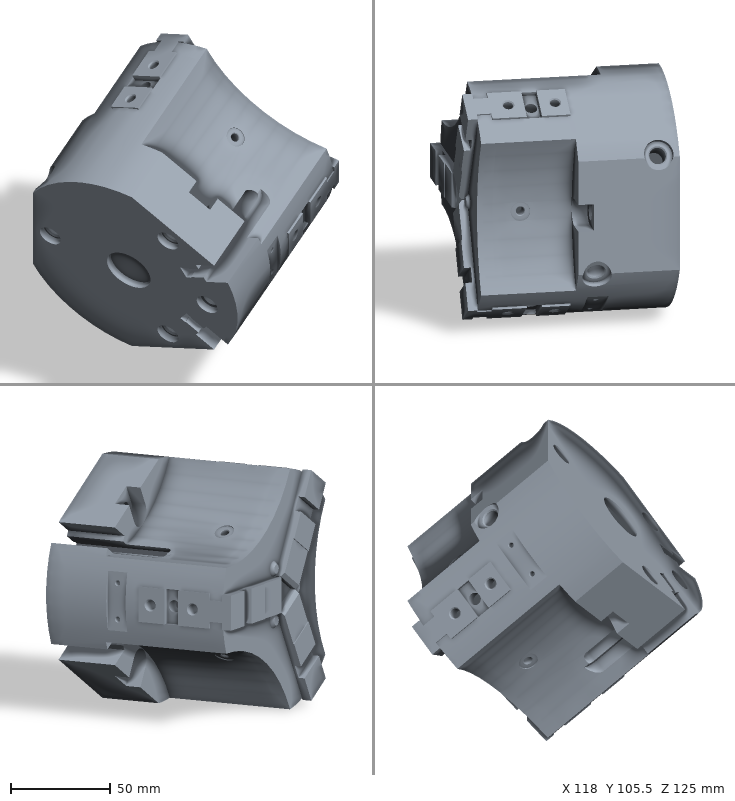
import cadquery as cq
import math


JAW_ANGLES = (0, 120, 240)
SCALLOP_ANGLES = (60, 180, 300)

BODY_RADIUS = 62.5
BODY_LENGTH = 100.5
COVER_THICKNESS = 8.0
FLAT_DISTANCE = 55.0
SCALLOP_RADIUS = 75.0
SCALLOP_FLOOR = 36.9
SCALLOP_STARTS = {60: 32.0, 180: 52.0, 300: 32.0}

RELIEF_WIDTH = 14.0
RELIEF_LENGTH = 8.0
RELIEF_CENTRE = 44.0

CENTRE_BORE_RADIUS = 12.5
CENTRE_BORE_DEPTH = 4.0

MOUNT_CIRCLE_RADIUS = 45.0
SLEEVE_RADIUS = 6.0
SLEEVE_DEPTH = 4.0
MOUNT_THREAD_RADIUS = 4.1
MOUNT_CHAMFER_RADIUS = 5.0
AIR_FEED_RADIUS = 4.1
AIR_FEED_DEPTH = 31.2
DRILL_POINT_ANGLE = 120

PURGE_Y = 78.2
PURGE_FACE_RADIUS = 5.0
PURGE_FACE_DISTANCE = 36.5
PURGE_CHAMFER_RADIUS = 2.5
PURGE_THREAD_RADIUS = 2.1
PURGE_DEPTH = 7.5

AIR_PORTS = ((150, 10.6), (210, 42.2))
AIR_PORT_FACE_RADIUS = 7.5
AIR_PORT_FACE_DISTANCE = 59.1
AIR_PORT_CHAMFER_RADIUS = 4.9
AIR_PORT_THREAD_RADIUS = 4.2
AIR_PORT_DEPTH = 11.0

SENSOR_SLOT_ANGLES = (30, -30)
SENSOR_SLOT_END = 55.5
SENSOR_SLOT_STEPS = (
    (48.0, BODY_RADIUS, 12.0),
    (39.5, 48.0, 6.0),
    (36.2, 39.5, 7.0),
)

BRACKET_FLAT_ANGLES = (0, 240)
BRACKET_FLAT_DISTANCE = 60.6
BRACKET_FLAT_Y = 39.7
BRACKET_FLAT_WIDTH = 11.0
BRACKET_HOLE_OFFSET = 9.2
BRACKET_HOLE_RADIUS = 1.2
BRACKET_CHAMFER_RADIUS = 1.5
BRACKET_HOLE_DEPTH = 5.0

STUD_CIRCLE_RADIUS = 15.2
STUD_BASE_RADIUS = 4.0
STUD_TOP_RADIUS = 2.4
STUD_HEIGHT = 1.7

JAW_FACE = 63.0
JAW_WIDTH = 18.0
JAW_NECK_WIDTH = 11.0
JAW_BOTTOM = 53.0
JAW_SHOULDER = 93.0
JAW_TOP = 105.5
JAW_GUIDE_INNER = 25.0
JAW_HEAD_INNER = 5.4
HEAD_BEVEL_LENGTH = 2.1
HEAD_BEVEL_DROP = 1.7
TOP_RELIEF_DEPTH = 0.5
TOP_RELIEF_RADIUS = 26.0
KEYWAY_WIDTH = 7.7
KEYWAY_DEPTH = 3.5
TOP_KEYWAY_CENTRE = 44.5
SIDE_KEYWAY_Y = 71.5
JAW_HOLE_SPACING = 12.0
JAW_CHAMFER_RADIUS = 3.1
JAW_THREAD_RADIUS = 2.5
JAW_HOLE_DEPTH = 10.0
JAW_DOWEL_DEPTH = 7.5

OVERSHOOT = 6.2


def turned(shape, angle):
    """Turn a feature modelled along +X to the given angle about the gripper axis."""
    return shape.rotate((0, 0, 0), (0, -1, 0), angle)


def block(x_start, x_end, y_start, y_end, width):
    """A box lying along +X, centred on Z = 0."""
    return cq.Workplane("XY").box(x_end - x_start, y_end - y_start, width).translate(
        ((x_start + x_end) / 2, (y_start + y_end) / 2, 0)
    )


def axial_cylinder(radius, y_start, y_end, distance=0.0):
    """A cylinder along the gripper axis, at a distance along +X."""
    return cq.Workplane("XZ", origin=(distance, y_start, 0)).circle(radius).extrude(y_start - y_end)


def inward_cylinder(radius, x_outer, x_inner, y, z=0.0):
    """A cylinder along X between two distances from the gripper axis."""
    return cq.Workplane("YZ", origin=(x_inner, y, z)).circle(radius).extrude(x_outer - x_inner)


def threaded_hole(thread_radius, chamfer_radius, depth):
    """A 45 degree chamfer leading into a bore, opening at the origin and running along +Z."""
    chamfer = chamfer_radius - thread_radius
    return (
        cq.Workplane("XZ")
        .moveTo(0, 0)
        .lineTo(chamfer_radius, 0)
        .lineTo(thread_radius, chamfer)
        .lineTo(thread_radius, depth)
        .lineTo(0, depth)
        .close()
        .revolve(360, (0, 0, 0), (0, 1, 0))
    )


def inward_threaded_hole(thread_radius, chamfer_radius, depth, x, y, z=0.0):
    """A threaded hole that opens at distance x and runs towards the gripper axis."""
    hole = threaded_hole(thread_radius, chamfer_radius, depth)
    return hole.rotate((0, 0, 0), (0, 1, 0), -90).translate((x, y, z))


def axial_threaded_hole(thread_radius, chamfer_radius, depth, x, y):
    """A threaded hole that opens at height y and runs towards +Y."""
    hole = threaded_hole(thread_radius, chamfer_radius, depth)
    return hole.rotate((0, 0, 0), (1, 0, 0), -90).translate((x, y, 0))


def flat():
    return block(FLAT_DISTANCE, BODY_RADIUS + OVERSHOOT, -OVERSHOOT, BODY_LENGTH + OVERSHOOT, 2 * BODY_RADIUS)


def scallop(y_start):
    centre = SCALLOP_FLOOR + SCALLOP_RADIUS
    return axial_cylinder(SCALLOP_RADIUS, y_start, BODY_LENGTH + OVERSHOOT, centre)


def scallop_relief(y_start):
    y_bottom = y_start - RELIEF_LENGTH
    channel = block(RELIEF_CENTRE, FLAT_DISTANCE + OVERSHOOT, y_bottom, y_start, RELIEF_WIDTH)
    return channel.union(axial_cylinder(RELIEF_WIDTH / 2, y_bottom, y_start, RELIEF_CENTRE))


def purge_port():
    face = inward_cylinder(PURGE_FACE_RADIUS, FLAT_DISTANCE, PURGE_FACE_DISTANCE, PURGE_Y)
    return face.union(
        inward_threaded_hole(
            PURGE_THREAD_RADIUS, PURGE_CHAMFER_RADIUS, PURGE_DEPTH, PURGE_FACE_DISTANCE, PURGE_Y
        )
    )


def sleeve_recess():
    return axial_cylinder(SLEEVE_RADIUS, 0, SLEEVE_DEPTH, MOUNT_CIRCLE_RADIUS)


def mounting_hole():
    return sleeve_recess().union(
        axial_threaded_hole(
            MOUNT_THREAD_RADIUS, MOUNT_CHAMFER_RADIUS, BODY_LENGTH, MOUNT_CIRCLE_RADIUS, SLEEVE_DEPTH
        )
    )


def air_feed_hole():
    bore = axial_cylinder(AIR_FEED_RADIUS, 0, AIR_FEED_DEPTH, MOUNT_CIRCLE_RADIUS)
    drill_point = cq.Solid.makeCone(
        AIR_FEED_RADIUS,
        0,
        AIR_FEED_RADIUS / math.tan(math.radians(DRILL_POINT_ANGLE / 2)),
        cq.Vector(MOUNT_CIRCLE_RADIUS, AIR_FEED_DEPTH, 0),
        cq.Vector(0, 1, 0),
    )
    return sleeve_recess().union(bore).union(cq.Workplane(drill_point))


def air_port(y):
    face = inward_cylinder(AIR_PORT_FACE_RADIUS, BODY_RADIUS + OVERSHOOT, AIR_PORT_FACE_DISTANCE, y)
    return face.union(
        inward_threaded_hole(
            AIR_PORT_THREAD_RADIUS, AIR_PORT_CHAMFER_RADIUS, AIR_PORT_DEPTH, AIR_PORT_FACE_DISTANCE, y
        )
    )


def sensor_slot():
    slot = cq.Workplane("XY")
    for inner, outer, width in SENSOR_SLOT_STEPS:
        slot = slot.union(block(inner, outer, -OVERSHOOT, SENSOR_SLOT_END, width))
        slot = slot.union(inward_cylinder(width / 2, outer, inner, SENSOR_SLOT_END))
    return slot


def bracket_flat():
    y_start = BRACKET_FLAT_Y - BRACKET_FLAT_WIDTH / 2
    y_end = BRACKET_FLAT_Y + BRACKET_FLAT_WIDTH / 2
    recess = block(BRACKET_FLAT_DISTANCE, BODY_RADIUS + OVERSHOOT, y_start, y_end, BODY_RADIUS)
    for z in (-BRACKET_HOLE_OFFSET, BRACKET_HOLE_OFFSET):
        recess = recess.union(
            inward_threaded_hole(
                BRACKET_HOLE_RADIUS,
                BRACKET_CHAMFER_RADIUS,
                BRACKET_HOLE_DEPTH,
                BRACKET_FLAT_DISTANCE,
                BRACKET_FLAT_Y,
                z,
            )
        )
    return recess


def stud():
    return cq.Workplane(
        cq.Solid.makeCone(
            STUD_BASE_RADIUS,
            STUD_TOP_RADIUS,
            STUD_HEIGHT,
            cq.Vector(STUD_CIRCLE_RADIUS, BODY_LENGTH, 0),
            cq.Vector(0, 1, 0),
        )
    )


def jaw_guide():
    """The part of a jaw that runs in the housing: a wide base and a narrow neck through the cover."""
    base = block(JAW_GUIDE_INNER, JAW_FACE, JAW_BOTTOM, JAW_SHOULDER, JAW_WIDTH)
    return base.union(block(JAW_GUIDE_INNER, JAW_FACE, JAW_SHOULDER, BODY_LENGTH, JAW_NECK_WIDTH))


def jaw_head():
    relief_y = JAW_TOP - TOP_RELIEF_DEPTH
    relief_length = TOP_RELIEF_RADIUS - JAW_HEAD_INNER
    outline = (
        cq.Workplane("XY", origin=(JAW_HEAD_INNER, relief_y, -JAW_WIDTH / 2))
        .moveTo(0, BODY_LENGTH - relief_y)
        .lineTo(0, -HEAD_BEVEL_DROP)
        .lineTo(HEAD_BEVEL_LENGTH, 0)
        .lineTo(relief_length, 0)
        .lineTo(relief_length, TOP_RELIEF_DEPTH)
        .lineTo(JAW_FACE - JAW_HEAD_INNER, TOP_RELIEF_DEPTH)
        .lineTo(JAW_FACE - JAW_HEAD_INNER, BODY_LENGTH - relief_y)
        .close()
    )
    head = outline.extrude(JAW_WIDTH)
    keyway = block(
        TOP_KEYWAY_CENTRE - KEYWAY_WIDTH / 2,
        TOP_KEYWAY_CENTRE + KEYWAY_WIDTH / 2,
        JAW_TOP - KEYWAY_DEPTH,
        JAW_TOP + OVERSHOOT,
        2 * JAW_WIDTH,
    )
    return head.cut(keyway)


def side_keyway():
    groove = block(
        JAW_FACE - KEYWAY_DEPTH,
        JAW_FACE + OVERSHOOT,
        SIDE_KEYWAY_Y - KEYWAY_WIDTH / 2,
        SIDE_KEYWAY_Y + KEYWAY_WIDTH / 2,
        2 * JAW_WIDTH,
    )
    floor = JAW_FACE - KEYWAY_DEPTH
    return groove.union(inward_cylinder(JAW_CHAMFER_RADIUS, floor, floor - JAW_DOWEL_DEPTH, SIDE_KEYWAY_Y))


def make_jaw():
    jaw = jaw_guide().union(jaw_head()).cut(side_keyway())
    for offset in (-JAW_HOLE_SPACING, JAW_HOLE_SPACING):
        jaw = jaw.cut(
            inward_threaded_hole(
                JAW_THREAD_RADIUS, JAW_CHAMFER_RADIUS, JAW_HOLE_DEPTH, JAW_FACE, SIDE_KEYWAY_Y + offset
            )
        )
    return jaw


def with_cover_line(housing):
    """Split the outer faces where the cover, one piece with the body, begins."""
    cover_region = axial_cylinder(2 * BODY_RADIUS, BODY_LENGTH - COVER_THICKNESS, BODY_LENGTH + OVERSHOOT)
    return housing.cut(cover_region).union(housing.intersect(cover_region), clean=False)


def make_housing():
    housing = axial_cylinder(BODY_RADIUS, 0, BODY_LENGTH)
    for angle in SCALLOP_ANGLES:
        scallop_start = SCALLOP_STARTS[angle]
        housing = housing.cut(turned(flat(), angle))
        housing = housing.cut(turned(scallop(scallop_start), angle))
        housing = housing.cut(turned(scallop_relief(scallop_start), angle))
        housing = housing.cut(turned(purge_port(), angle))
        housing = housing.cut(turned(mounting_hole(), angle))
        housing = housing.union(turned(stud(), angle))
    for angle in JAW_ANGLES:
        housing = housing.cut(turned(jaw_guide(), angle))
    for angle in SENSOR_SLOT_ANGLES:
        housing = housing.cut(turned(sensor_slot(), angle))
    for angle in BRACKET_FLAT_ANGLES:
        housing = housing.cut(turned(bracket_flat(), angle))
    for angle, y in AIR_PORTS:
        housing = housing.cut(turned(air_port(y), angle))
    housing = housing.cut(axial_cylinder(CENTRE_BORE_RADIUS, 0, CENTRE_BORE_DEPTH))
    return with_cover_line(housing.cut(air_feed_hole()))


housing = make_housing()
jaws = [turned(make_jaw(), angle) for angle in JAW_ANGLES]

result = cq.Compound.makeCompound([housing.val(), *[jaw.val() for jaw in jaws]])